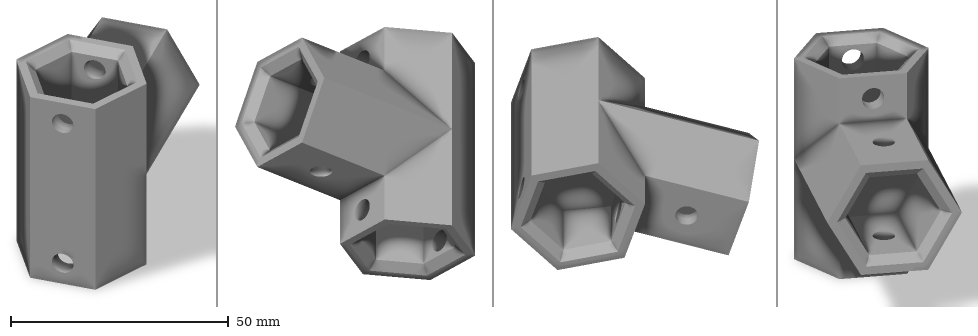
import cadquery as cq
import math

outer_flats = 27.3
mouth_flats = 23.3
bore_flats = 19.35
lead_in_depth = 1.95

upright_height = 50.0
branch_end = 52.3 - outer_flats / 2
pin_hole_diameter = 5.2

branch_socket_depth = branch_end - outer_flats / 2

upright_end = upright_height / 2
floor_depth = 17.25
floor_tilt = 9.5

upright_hole_inset = (upright_height - outer_flats) / 4
branch_hole_inset = branch_socket_depth / 2

top_end = cq.Plane(origin=(0, 0, upright_end), xDir=(1, 0, 0), normal=(0, 0, 1))
outer_end = cq.Plane(origin=(0, branch_end, 0), xDir=(1, 0, 0), normal=(0, 1, 0))


def across_corners(flats):
    return flats / math.cos(math.pi / 6)


def hexagonal_bar(plane, length):
    """Solid hexagonal bar running inwards from an end plane."""
    return cq.Workplane(plane).polygon(6, across_corners(outer_flats)).extrude(-length)


def socket(plane, depth):
    """Blind hexagonal bore with a tapered mouth."""
    bore = cq.Workplane(plane).polygon(6, across_corners(bore_flats)).extrude(-depth)
    lead_in = (
        cq.Workplane(plane)
        .polygon(6, across_corners(mouth_flats))
        .workplane(offset=-lead_in_depth)
        .polygon(6, across_corners(bore_flats))
        .loft(ruled=True)
    )
    return bore.union(lead_in)


def tilted_floor_socket():
    """Top socket of the upright tube, closed by its tilted floor."""
    floor_drop = outer_flats / 2 * math.tan(math.radians(floor_tilt))
    floor_z = upright_end - floor_depth
    space_above_floor = (
        cq.Workplane("YZ")
        .moveTo(-outer_flats / 2, floor_z - floor_drop)
        .lineTo(outer_flats / 2, floor_z + floor_drop)
        .lineTo(outer_flats / 2, upright_end)
        .lineTo(-outer_flats / 2, upright_end)
        .close()
        .extrude(outer_flats, both=True)
    )
    return socket(top_end, floor_depth + floor_drop).intersect(space_above_floor)


def pin_hole(center, direction):
    """Cross hole through both walls of a tube."""
    axis = cq.Vector(*direction)
    start = cq.Vector(*center) - axis * outer_flats
    return cq.Solid.makeCylinder(pin_hole_diameter / 2, 2 * outer_flats, start, axis)


result = hexagonal_bar(top_end, upright_height).union(hexagonal_bar(outer_end, branch_end))

top_socket = tilted_floor_socket()
result = result.cut(top_socket).cut(top_socket.mirror("XY"))

result = result.cut(socket(outer_end, branch_socket_depth))

for side in (1, -1):
    hole_z = side * (upright_end - upright_hole_inset)
    result = result.cut(pin_hole((0, 0, hole_z), (0, 1, 0)))
result = result.cut(pin_hole((0, branch_end - branch_hole_inset, 0), (0, 0, 1)))